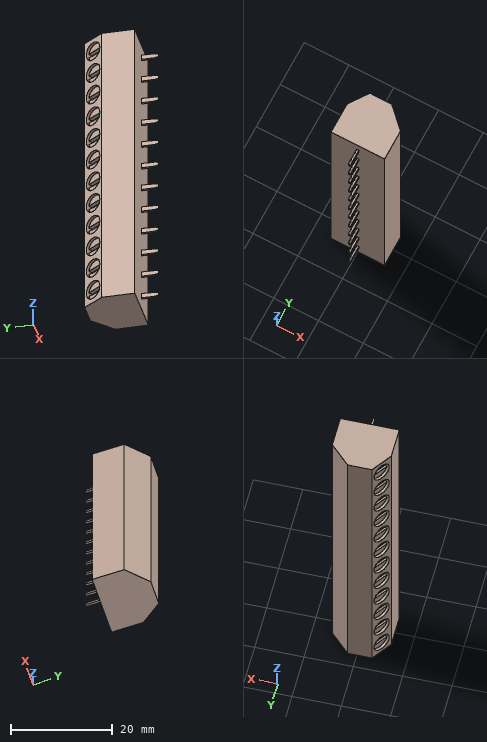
import cadquery as cq

pole_count = 12
block_length = 61.9
end_margin = 0.9
pole_pitch = (block_length - end_margin) / pole_count

block_width = 12.0
block_depth = 10.8
bevel_height = 4.15
screw_bevel_width = 2.9

pin_length = 3.45
pin_tip_length = 0.8
pin_thickness = 0.5
pin_height = 1.0
pin_tip_height = 0.7

screw_diameter = 3.95
recess_depth = 0.6
slot_width = 0.85
slot_depth = 1.0

half_width = block_width / 2
shoulder_y = block_depth - bevel_height
pole_heights = [(i - (pole_count - 1) / 2) * pole_pitch for i in range(pole_count)]


def make_block():
    outline = [
        (-half_width, 0),
        (half_width, 0),
        (half_width, shoulder_y),
        (half_width - bevel_height, block_depth),
        (-half_width + screw_bevel_width, block_depth),
        (-half_width, shoulder_y),
    ]
    return cq.Workplane("XY").polyline(outline).close().extrude(block_length / 2, both=True)


def make_pin():
    """Pin at mid-height, starting on the block's -Y face."""
    tip_start = -(pin_length - pin_tip_length)
    half_height = pin_height / 2
    half_tip = pin_tip_height / 2
    outline = [
        (0, -half_height),
        (tip_start, -half_height),
        (-pin_length, -half_tip),
        (-pin_length, half_tip),
        (tip_start, half_height),
        (0, half_height),
    ]
    return cq.Workplane("YZ").polyline(outline).close().extrude(pin_thickness / 2, both=True)


def make_screw_recess():
    """Cutter at mid-height: a round recess with a screwdriver slot in its floor."""
    bevel_center = (-half_width + screw_bevel_width / 2, block_depth - bevel_height / 2, 0)
    bevel_plane = cq.Plane(
        origin=bevel_center,
        xDir=(screw_bevel_width, bevel_height, 0),
        normal=(-bevel_height, screw_bevel_width, 0),
    )
    bevel = cq.Workplane(bevel_plane)
    full_depth = recess_depth + slot_depth
    recess = bevel.circle(screw_diameter / 2).extrude(-recess_depth)
    slot_band = bevel.rect(screw_diameter, slot_width).extrude(-full_depth)
    slot = bevel.circle(screw_diameter / 2).extrude(-full_depth).intersect(slot_band)
    return recess.union(slot)


result = make_block()
pin = make_pin()
screw_recess = make_screw_recess()
for height in pole_heights:
    result = result.union(pin.translate((0, 0, height)))
    result = result.cut(screw_recess.translate((0, 0, height)))